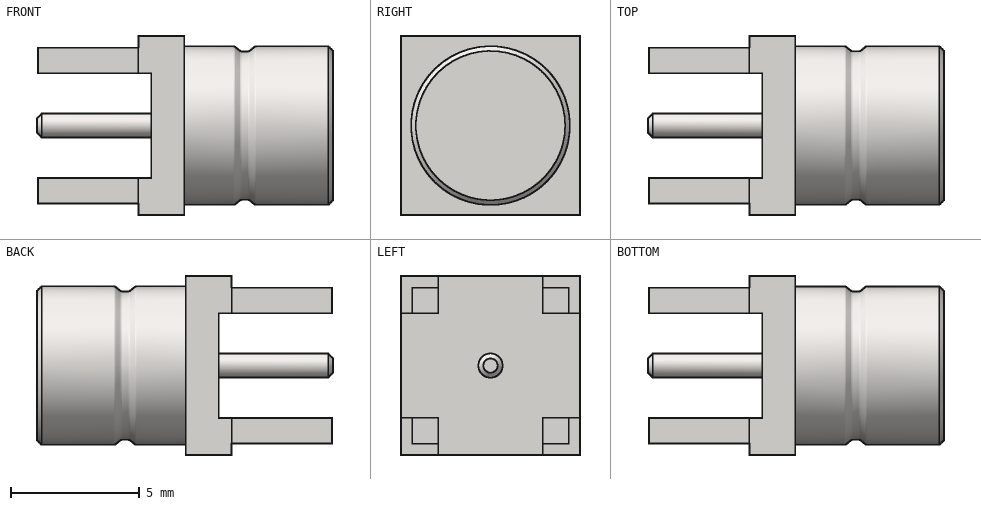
import cadquery as cq

total_length = 11.57

flange_width = 7.0
pad_face_x = 3.97
pad_height = 0.5
flange_face_x = pad_face_x + pad_height
flange_back_x = 5.76
pad_width = 1.46

leg_tip_x = 0.03
leg_width = 1.01

pin_radius = 0.47
pin_chamfer = 0.2

barrel_radius = 3.1
barrel_chamfer = 0.19
groove_center_x = 8.12
groove_depth = 0.2
groove_top_half_width = 0.4
groove_floor_half_width = 0.16
groove_edge_radius = 0.1


def box_along_x(start_x, end_x, width, center_y=0, center_z=0):
    """Square bar from start_x to end_x."""
    return (
        cq.Workplane("YZ", origin=(start_x, center_y, center_z))
        .rect(width, width)
        .extrude(end_x - start_x)
    )


def cylinder_along_x(start_x, end_x, radius):
    """Round bar on the X axis from start_x to end_x."""
    return cq.Workplane("YZ", origin=(start_x, 0, 0)).circle(radius).extrude(end_x - start_x)


def make_barrel():
    """Barrel with a rounded groove and a chamfered free end."""
    floor_radius = barrel_radius - groove_depth
    barrel = (
        cq.Workplane("XY")
        .moveTo(flange_back_x, 0)
        .lineTo(flange_back_x, barrel_radius)
        .lineTo(groove_center_x - groove_top_half_width, barrel_radius)
        .lineTo(groove_center_x - groove_floor_half_width, floor_radius)
        .lineTo(groove_center_x + groove_floor_half_width, floor_radius)
        .lineTo(groove_center_x + groove_top_half_width, barrel_radius)
        .lineTo(total_length, barrel_radius)
        .lineTo(total_length, 0)
        .close()
        .revolve(360, (0, 0, 0), (1, 0, 0))
    )
    groove_edges = cq.selectors.BoxSelector(
        (groove_center_x - 2 * groove_top_half_width, -flange_width, -flange_width),
        (groove_center_x + 2 * groove_top_half_width, flange_width, flange_width),
    )
    barrel = barrel.edges("%CIRCLE").edges(groove_edges).fillet(groove_edge_radius)
    return barrel.faces(">X").edges().chamfer(barrel_chamfer)


def make_pin():
    """Centre pin with a chamfered tip."""
    pin = cylinder_along_x(0, flange_face_x, pin_radius)
    return pin.faces("<X").edges().chamfer(pin_chamfer)


result = box_along_x(flange_face_x, flange_back_x, flange_width)
result = result.union(make_barrel()).union(make_pin())

pad_offset = (flange_width - pad_width) / 2
leg_offset = flange_width / 2 - pad_width + leg_width / 2
for side_y in (-1, 1):
    for side_z in (-1, 1):
        pad = box_along_x(
            pad_face_x, flange_face_x, pad_width, side_y * pad_offset, side_z * pad_offset
        )
        leg = box_along_x(
            leg_tip_x, pad_face_x, leg_width, side_y * leg_offset, side_z * leg_offset
        )
        result = result.union(pad).union(leg)